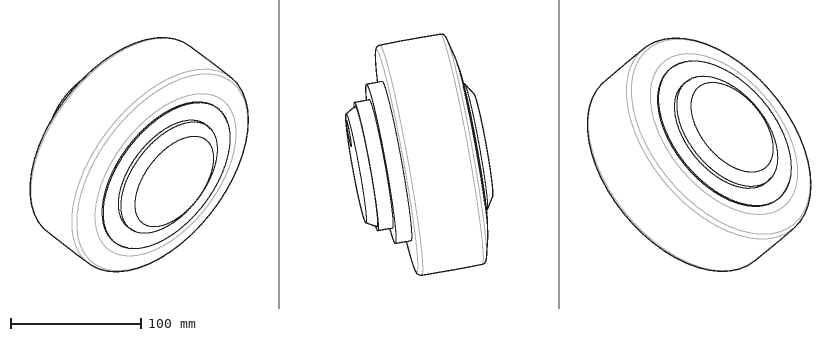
import cadquery as cq
import math

tyre_radius = 90.0
crown_radius = 998.7
collar_radius = 62.0
hub_radius = 50.0
hub_cone_base_radius = 47.0
hub_tip_radius = 42.5
taper_end_radius = 72.0
cover_radius = 64.8
cap_radius = 49.3
cap_tip_radius = 40.1

hub_start = 8.0
collar_start = 19.5
tyre_start = 31.7
tyre_end = 89.0
cover_end = 90.3
cap_chamfer_start = 93.2
total_length = 99.1

edge_round = 3.2
taper_angle = 15.0
crown_start = tyre_start + edge_round
crown_end = 82.0
crown_middle = (crown_start + crown_end) / 2
crown_half_width = crown_middle - crown_start
crown_sag = crown_radius - math.sqrt(crown_radius**2 - crown_half_width**2)
crown_edge_radius = tyre_radius - crown_sag

hole_offset = 28.6
hole_diameter = 20.2
hole_depth = 12.0
drill_diameter = 5.4
drill_point_angle = 118.0


def round_point(center_x, angle):
    """Point on a tyre edge round; the angle is measured from +X toward the rim."""
    center_radius = crown_edge_radius - edge_round
    turn = math.radians(angle)
    return (center_x + edge_round * math.cos(turn), center_radius + edge_round * math.sin(turn))


def turned_body():
    """Revolve the stepped half section; its points are (X, radius)."""
    taper_top = round_point(crown_end, taper_angle)
    section = (
        cq.Workplane("XY")
        .moveTo(0, 0)
        .lineTo(0, hub_tip_radius)
        .lineTo(hub_start, hub_cone_base_radius)
        .lineTo(hub_start, hub_radius)
        .lineTo(collar_start, hub_radius)
        .lineTo(collar_start, collar_radius)
        .lineTo(tyre_start, collar_radius)
        .lineTo(*round_point(crown_start, 180))
        .threePointArc(round_point(crown_start, 135), (crown_start, crown_edge_radius))
        .threePointArc((crown_middle, tyre_radius), (crown_end, crown_edge_radius))
        .threePointArc(round_point(crown_end, (90 + taper_angle) / 2), taper_top)
        .lineTo(tyre_end, taper_end_radius)
        .lineTo(tyre_end, cover_radius)
        .lineTo(cover_end, cover_radius)
        .lineTo(cover_end, cap_radius)
        .lineTo(cap_chamfer_start, cap_radius)
        .lineTo(total_length, cap_tip_radius)
        .lineTo(total_length, 0)
        .close()
    )
    return section.revolve(360, (0, 0, 0), (1, 0, 0))


def greasing_hole():
    """Flat-bottomed bore with a conical drill point at its centre."""
    point_depth = drill_diameter / 2 / math.tan(math.radians(drill_point_angle / 2))
    section = (
        cq.Workplane("XY")
        .moveTo(0, hole_offset)
        .lineTo(0, hole_offset + hole_diameter / 2)
        .lineTo(hole_depth, hole_offset + hole_diameter / 2)
        .lineTo(hole_depth, hole_offset + drill_diameter / 2)
        .lineTo(hole_depth + point_depth, hole_offset)
        .close()
    )
    return section.revolve(360, (0, hole_offset, 0), (1, hole_offset, 0))


result = turned_body().cut(greasing_hole())